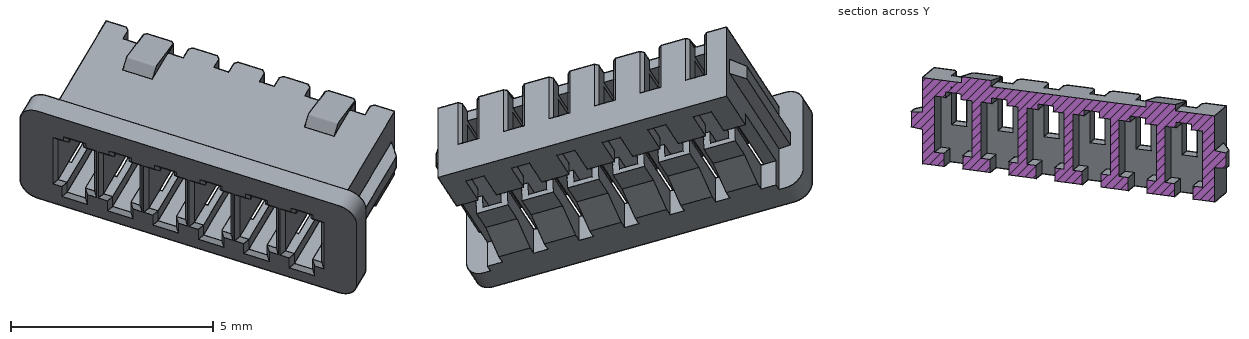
import cadquery as cq


flange_width = 9.06
flange_height = 3.13
flange_thickness = 0.58
flange_corner_radius = 0.48

body_width = 7.76
body_rear = 3.87
body_top = 2.7
rear_block_bottom = 0.435

relief_front = 0.77
relief_rear = 2.69
relief_top = 0.79

cavity_count = 6
cavity_pitch = 1.22
cavity_half_width = 0.49
cavity_floor = relief_top
cavity_top = 2.25
cavity_depth = 3.47
key_half_width = 0.2
key_top = 2.39
channel_half_width = 0.245
channel_floor = rear_block_bottom
mouth_chamfer = 0.1

slot_bottom = 1.41
slot_chamfer = 0.08

lance_width = 0.84
lance_bottom = 0.3
lance_tip_top = 2.43
lance_tip_bottom = 2.38
lance_ramp_rear = 1.81
lance_ramp_front = 0.99

latch_width = 0.8
latch_peak = 2.93
latch_crest = 2.75
latch_front = 2.49
latch_crest_radius = 0.09

rib_span = 8.36
rib_bottom = 1.36
rib_top = 1.77
rib_draft = 0.03
rib_slope_front = 3.29
rib_slope_rear = 3.67

cavity_centers = [(i - (cavity_count - 1) / 2) * cavity_pitch for i in range(cavity_count)]
latch_centers = [-2 * cavity_pitch, 2 * cavity_pitch]


def box(x_range, y_range, z_range):
    """Box spanning the given (low, high) ranges."""
    size = [high - low for low, high in (x_range, y_range, z_range)]
    low_corner = (x_range[0], y_range[0], z_range[0])
    return cq.Workplane("XY").box(*size, centered=False).translate(low_corner)


def side_profile(points, center_x, width):
    """Prism of a (Y, Z) outline, centred on center_x along X."""
    prism = cq.Workplane("YZ").polyline(points).close().extrude(width / 2, both=True)
    return prism.translate((center_x, 0, 0))


def tapered_cut(outline, y_wide, y_narrow, growth):
    """Cutter running from the outline grown at y_wide to the plain outline at y_narrow."""
    sketch = cq.Workplane("XZ", origin=(0, y_wide, 0)).polyline(outline(growth)).close()
    return sketch.workplane(offset=y_wide - y_narrow).polyline(outline(0)).close().loft(ruled=True)


def straight_cut(outline, y_start, y_end):
    """Cutter with a constant outline between two Y positions."""
    return cq.Workplane("XZ", origin=(0, y_end, 0)).polyline(outline(0)).close().extrude(y_end - y_start)


def cavity_outline(growth):
    """Cavity section in (X, Z): terminal bay, key groove above and lance channel below."""
    right_side = [
        (channel_half_width + growth, channel_floor - growth),
        (channel_half_width + growth, cavity_floor - growth),
        (cavity_half_width + growth, cavity_floor - growth),
        (cavity_half_width + growth, cavity_top + growth),
        (key_half_width + growth, cavity_top + growth),
        (key_half_width + growth, key_top + growth),
    ]
    return right_side + [(-x, z) for x, z in reversed(right_side)]


def slot_outline(growth):
    """Rear slot section in (X, Z), open through the roof."""
    half_width = key_half_width + growth
    bottom = slot_bottom - growth
    return [
        (-half_width, bottom),
        (half_width, bottom),
        (half_width, latch_peak),
        (-half_width, latch_peak),
    ]


def make_flange():
    flange = box((-flange_width / 2, flange_width / 2), (0, flange_thickness), (0, flange_height))
    return flange.edges("|Y").fillet(flange_corner_radius)


def make_body():
    outline = [
        (flange_thickness, 0),
        (relief_front, 0),
        (relief_front, relief_top),
        (relief_rear, relief_top),
        (relief_rear, rear_block_bottom),
        (body_rear, rear_block_bottom),
        (body_rear, body_top),
        (flange_thickness, body_top),
    ]
    return side_profile(outline, 0, body_width)


def make_ribs():
    """Both side ribs as one bar through the body, with bevelled rear ends and drafted flanks."""
    root = body_width / 2
    tip = rib_span / 2
    plan = [
        (-tip, flange_thickness),
        (tip, flange_thickness),
        (tip, rib_slope_front),
        (root, rib_slope_rear),
        (-root, rib_slope_rear),
        (-tip, rib_slope_front),
    ]
    section = [
        (-tip, rib_bottom),
        (-root, rib_bottom - rib_draft),
        (root, rib_bottom - rib_draft),
        (tip, rib_bottom),
        (tip, rib_top),
        (root, rib_top + rib_draft),
        (-root, rib_top + rib_draft),
        (-tip, rib_top),
    ]
    plan_prism = cq.Workplane("XY").polyline(plan).close().extrude(body_top)
    section_prism = cq.Workplane("XZ").polyline(section).close().extrude(-body_rear)
    return plan_prism.intersect(section_prism)


def make_latch(center_x):
    outline = [
        (body_rear, body_top),
        (latch_crest, latch_peak),
        (latch_front, body_top),
    ]
    wedge = side_profile(outline, center_x, latch_width)
    return wedge.edges("|X and >Z").fillet(latch_crest_radius)


def make_lance(center_x):
    outline = [
        (relief_front, 0),
        (lance_ramp_front, 0),
        (lance_ramp_rear, lance_bottom),
        (lance_tip_bottom, lance_bottom),
        (lance_tip_top, relief_top),
        (relief_front, relief_top),
    ]
    return side_profile(outline, center_x, lance_width)


def make_cavity_cutter():
    """Chamfered cavity, plus the slot through the rear wall.

    The lance channel is level with the underside of the rear block, so it opens downward there.
    """
    mouth = tapered_cut(cavity_outline, 0, mouth_chamfer, mouth_chamfer)
    bay = straight_cut(cavity_outline, mouth_chamfer, cavity_depth)
    slot = straight_cut(slot_outline, cavity_depth, body_rear)
    slot_flare = tapered_cut(slot_outline, body_rear, body_rear - slot_chamfer, slot_chamfer)
    return mouth.union(bay).union(slot).union(slot_flare)


result = make_flange().union(make_body()).union(make_ribs())
for latch_x in latch_centers:
    result = result.union(make_latch(latch_x))
for cavity_x in cavity_centers:
    result = result.union(make_lance(cavity_x))

cavity_cutter = make_cavity_cutter()
for cavity_x in cavity_centers:
    result = result.cut(cavity_cutter.translate((cavity_x, 0, 0)))